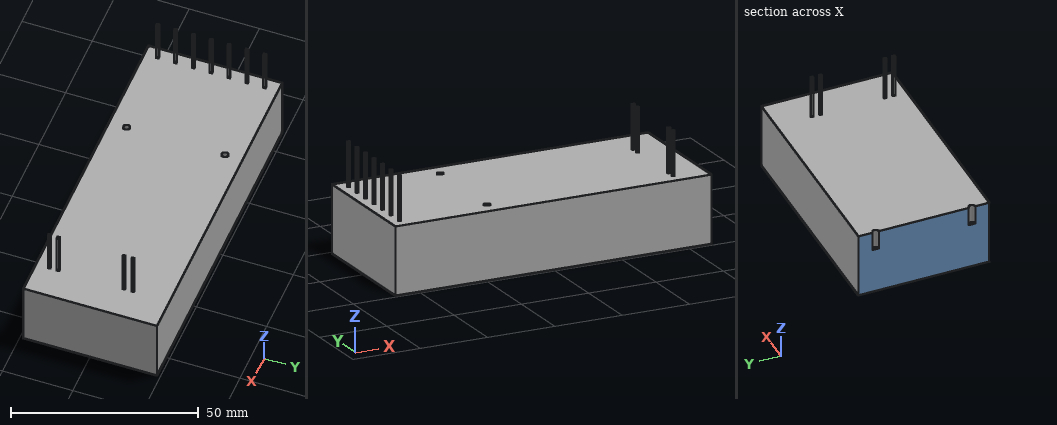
import cadquery as cq

body_length = 94.0
body_width = 38.1
body_height = 19.55

total_height = 32.2
pin_side = 0.64
pin_length = total_height - body_height
pin_pitch = 2.5

left_pin_count = 7
left_pin_spacing = 2 * pin_pitch
left_row_inset = 3.1
left_row_x = -body_length / 2 + left_row_inset
first_pin_y = -left_pin_spacing * (left_pin_count - 1) / 2

row_distance = 81.3
right_row_x = left_row_x + row_distance
pair_distance = 21.2

hole_diameter = 1.8
hole_depth = 5.6
hole_inset = 29.7
hole_spacing = 28.0
hole_x = -body_length / 2 + hole_inset


def left_pin_positions():
    return [(left_row_x, first_pin_y + i * left_pin_spacing) for i in range(left_pin_count)]


def right_pin_positions():
    second_pair_y = first_pin_y + pair_distance
    offsets = (0, pin_pitch)
    lower_pair = [(right_row_x, first_pin_y + offset) for offset in offsets]
    upper_pair = [(right_row_x, second_pair_y + offset) for offset in offsets]
    return lower_pair + upper_pair


def make_body():
    block = cq.Workplane("XY").box(body_length, body_width, body_height, centered=(True, True, False))
    hole_positions = [(hole_x, side * hole_spacing / 2) for side in (-1, 1)]
    return (
        block.faces(">Z")
        .workplane(origin=(0, 0, body_height))
        .pushPoints(hole_positions)
        .hole(hole_diameter, hole_depth)
    )


def add_pins(body):
    return (
        body.faces(">Z")
        .workplane(origin=(0, 0, body_height))
        .pushPoints(left_pin_positions() + right_pin_positions())
        .rect(pin_side, pin_side)
        .extrude(pin_length)
    )


result = add_pins(make_body())